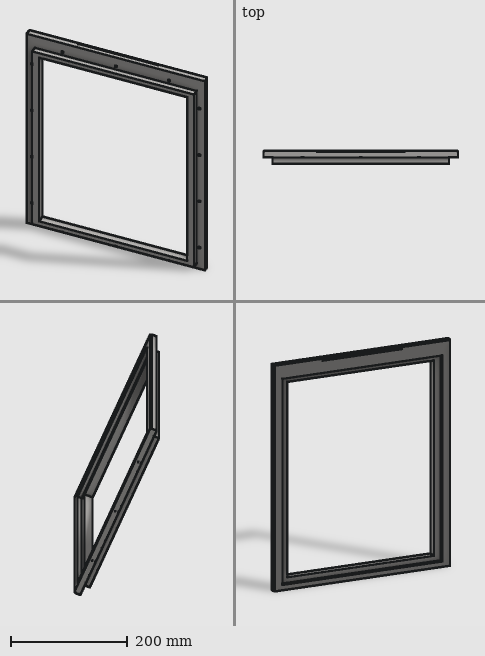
import cadquery as cq

WIDTH = 334.0
HEIGHT = 408.0
DEPTH = 23.0

PLATE_THICKNESS = 12.0
PLATE_BACK_Y = DEPTH / 2
PLATE_FRONT_Y = PLATE_BACK_Y - PLATE_THICKNESS
CHAMFER_WIDTH = 1.5
CHAMFER_DEPTH = 3.0

RIM_FRONT_Y = -DEPTH / 2
RIM_THICKNESS = 15.0
RIM_BACK_Y = RIM_FRONT_Y + RIM_THICKNESS
RIM_SIDE_INSET = 15.5
RIM_TOP_INSET = 25.5
RIM_BOTTOM_INSET = 9.8
RIM_SIDE_WALL = 12.5
RIM_END_WALL = 9.8
RIM_WIDTH = WIDTH - 2 * RIM_SIDE_INSET
RIM_HEIGHT = HEIGHT - RIM_TOP_INSET - RIM_BOTTOM_INSET
RIM_CENTRE_Z = (RIM_BOTTOM_INSET - RIM_TOP_INSET) / 2

WINDOW_WIDTH = RIM_WIDTH - 2 * RIM_SIDE_WALL
WINDOW_HEIGHT = RIM_HEIGHT - 2 * RIM_END_WALL

HOLE_DIAMETER = 3.3
HOLE_DEPTH = 6.0
HOLE_PITCH = 100.0
SIDE_HOLE_INSET = 10.0
TOP_HOLE_INSET = 19.0
BOTTOM_HOLE_INSET = 3.3
LOWEST_SIDE_HOLE = 45.5
END_HOLE_COUNT = 3
SIDE_HOLE_COUNT = 4

SLOT_LENGTH = 150.0
SLOT_WIDTH = 1.2
SLOT_DEPTH = 4.0
SLOT_BACK_OFFSET = 1.2


def block(width, front_y, back_y, height, centre_z):
    """Box centred on X, between two Y planes."""
    return cq.Workplane("XY").box(width, back_y - front_y, height).translate(
        (0, (front_y + back_y) / 2, centre_z)
    )


def rim_outline_block(front_y, back_y):
    """Solid block with the outer outline of the rim."""
    return block(RIM_WIDTH, front_y, back_y, RIM_HEIGHT, RIM_CENTRE_Z)


def hole_positions():
    """(x, z) centres of the holes in all four sides of the plate."""
    positions = []
    for i in range(END_HOLE_COUNT):
        x = (i - (END_HOLE_COUNT - 1) / 2) * HOLE_PITCH
        positions.append((x, HEIGHT / 2 - TOP_HOLE_INSET))
        positions.append((x, -HEIGHT / 2 + BOTTOM_HOLE_INSET))
    for i in range(SIDE_HOLE_COUNT):
        z = -HEIGHT / 2 + LOWEST_SIDE_HOLE + i * HOLE_PITCH
        for side in (-1, 1):
            positions.append((side * (WIDTH / 2 - SIDE_HOLE_INSET), z))
    return positions


def fixing_holes():
    return (
        cq.Workplane("XZ", origin=(0, PLATE_FRONT_Y + HOLE_DEPTH, 0))
        .pushPoints(hole_positions())
        .circle(HOLE_DIAMETER / 2)
        .extrude(HOLE_DEPTH)
    )


def top_slot():
    back_y = PLATE_BACK_Y - SLOT_BACK_OFFSET
    return block(SLOT_LENGTH, back_y - SLOT_WIDTH, back_y, SLOT_DEPTH, (HEIGHT - SLOT_DEPTH) / 2)


def plate_blank():
    """Plate with its two upright back edges chamfered."""
    half_width = WIDTH / 2
    chamfer_x = half_width - CHAMFER_WIDTH
    chamfer_y = PLATE_BACK_Y - CHAMFER_DEPTH
    section = [
        (-half_width, PLATE_FRONT_Y),
        (half_width, PLATE_FRONT_Y),
        (half_width, chamfer_y),
        (chamfer_x, PLATE_BACK_Y),
        (-chamfer_x, PLATE_BACK_Y),
        (-half_width, chamfer_y),
    ]
    return cq.Workplane("XY", origin=(0, 0, -HEIGHT / 2)).polyline(section).close().extrude(HEIGHT)


def make_plate():
    opening = rim_outline_block(PLATE_FRONT_Y, PLATE_BACK_Y)
    return plate_blank().cut(opening).cut(fixing_holes()).cut(top_slot())


def make_rim():
    window = block(WINDOW_WIDTH, RIM_FRONT_Y, RIM_BACK_Y, WINDOW_HEIGHT, RIM_CENTRE_Z)
    return rim_outline_block(RIM_FRONT_Y, RIM_BACK_Y).cut(window)


plate = make_plate()
rim = make_rim()
result = cq.Compound.makeCompound([plate.val(), rim.val()])